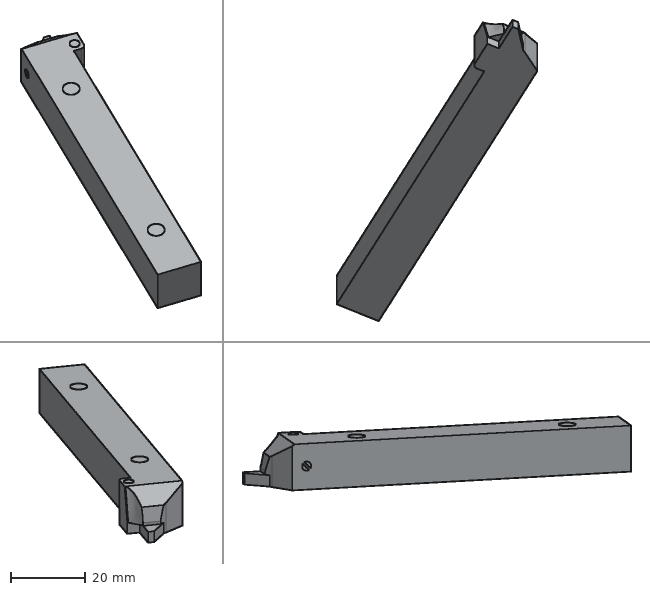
import cadquery as cq

length = 105.0
height = 12.7
shank_width = 12.7
full_width = 16.2

tip_height = 3.2
tip_nose_y = 11.0
tip_root_x = 5.8
tip_root_y = 6.6

head_front_x = 4.8
head_front_y = 7.8
neck_mid_x = 5.6
neck_mid_y = 6.9
neck_end_x = 6.2
neck_end_y = 5.9
head_back_x = 10.3
lug_front_x = 8.2
lug_end_x = 16.9
lug_corner_radius = 1.3
flank_start_x = 5.2
flank_end_y = 15.9

slope_top_x = 10.8
slope_bottom_x = 5.8
slope_bottom_z = 8.2
brow_bottom_z = 4.1

relief_mid_x = 8.4
relief_mid_y = 13.2
relief_top_x = 10.8

recess_depth = 0.1
mounting_radius = 2.3
mounting_x = (30.0, 88.9)
pin_radius = 1.4
pin_x = 14.4
pin_y = 14.0
screw_x = 14.3
screw_z = 6.5
screw_radius = 1.3
screw_bar_width = 0.6
screw_bar_angle = 45


def make_body():
    """Shank with the tapered head and side lug, at full height."""
    return (
        cq.Workplane("XY")
        .moveTo(head_front_x, shank_width)
        .lineTo(head_front_x, head_front_y)
        .threePointArc((neck_mid_x, neck_mid_y), (neck_end_x, neck_end_y))
        .lineTo(head_back_x, 0)
        .lineTo(length, 0)
        .lineTo(length, shank_width)
        .lineTo(lug_end_x, shank_width)
        .lineTo(lug_end_x, full_width - lug_corner_radius)
        .radiusArc((lug_end_x - lug_corner_radius, full_width), -lug_corner_radius)
        .lineTo(lug_front_x, full_width)
        .lineTo(lug_front_x, flank_end_y)
        .lineTo(flank_start_x, shank_width)
        .close()
        .extrude(height)
    )


def make_front_cutter():
    """Waste in front of the main slope and the steeper brow below it."""
    return (
        cq.Workplane("XZ")
        .moveTo(0, height)
        .lineTo(slope_top_x, height)
        .lineTo(slope_bottom_x, slope_bottom_z)
        .lineTo(head_front_x, brow_bottom_z)
        .lineTo(0, brow_bottom_z)
        .close()
        .extrude(-full_width)
    )


def make_relief_cutter():
    """Waste whose inner wall blends from a straight flank to a concave arc."""
    lower = (
        cq.Workplane("XY")
        .workplane(offset=tip_height)
        .moveTo(flank_start_x, shank_width)
        .lineTo(lug_front_x, flank_end_y)
        .lineTo(lug_front_x, full_width)
        .lineTo(head_front_x, full_width)
        .close()
    )
    return (
        lower.workplane(offset=height - tip_height)
        .moveTo(flank_start_x, shank_width)
        .threePointArc((relief_mid_x, relief_mid_y), (relief_top_x, flank_end_y))
        .lineTo(relief_top_x, full_width)
        .lineTo(head_front_x, full_width)
        .close()
        .loft(ruled=True)
    )


def make_seat_cutter():
    """Undercut beside the tip, leaving a square wall below the relief."""
    return cq.Workplane("XY").box(
        lug_front_x, full_width - shank_width, tip_height, centered=False
    ).translate((0, shank_width, 0))


def make_tip():
    return (
        cq.Workplane("XY")
        .polyline([
            (0, shank_width),
            (0, tip_nose_y),
            (tip_root_x, tip_root_y),
            (tip_root_x, shank_width),
        ])
        .close()
        .extrude(tip_height)
    )


def make_top_recess(x, y, radius):
    return (
        cq.Workplane("XY")
        .workplane(offset=height - recess_depth)
        .center(x, y)
        .circle(radius)
        .extrude(recess_depth)
    )


def make_screw_recess():
    """Shallow round recess with a raised diagonal bar across its floor."""
    face = cq.Workplane("XZ", origin=(screw_x, 0, screw_z))
    disc = face.circle(screw_radius).extrude(-recess_depth)
    bar = (
        face.transformed(rotate=(0, 0, -screw_bar_angle))
        .rect(2 * screw_radius, screw_bar_width)
        .extrude(-recess_depth)
    )
    return disc.cut(bar)


result = make_body()
result = result.cut(make_front_cutter())
result = result.cut(make_relief_cutter())
result = result.cut(make_seat_cutter())
result = result.union(make_tip())
for x in mounting_x:
    result = result.cut(make_top_recess(x, shank_width / 2, mounting_radius))
result = result.cut(make_top_recess(pin_x, pin_y, pin_radius))
result = result.cut(make_screw_recess())